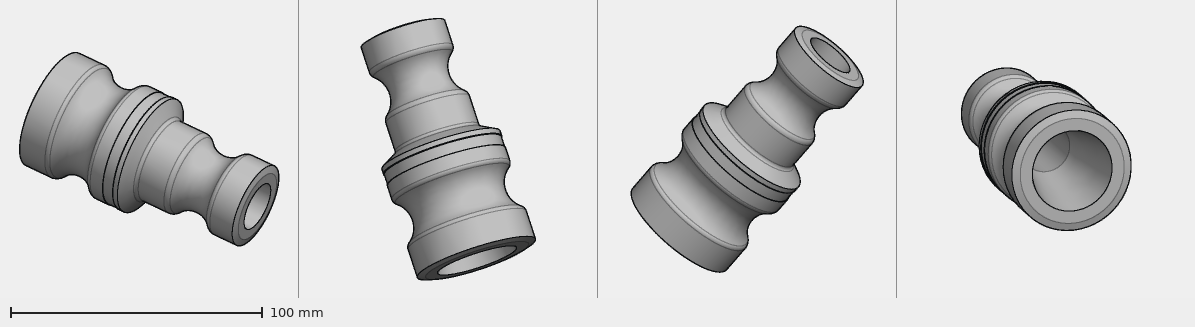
import cadquery as cq
import math

LENGTH = 97.0

LARGE_RADIUS = 49.5 / 2
BAND_RADIUS = 49.0 / 2
SMALL_RADIUS = 35.0 / 2
BAND_START = 39.9
BAND_END = 44.4
BAND_STEP_LENGTH = 0.3
COLLAR_END = 46.85

SHOULDER_ANGLE = math.radians(60)
SHOULDER_FILLET = 1.8

LARGE_BEVEL_LENGTH = 1.0
LARGE_FACE_RADIUS = 21.5
SMALL_BEVEL_LENGTH = 0.9
SMALL_FACE_RADIUS = 14.4

LARGE_GROOVE_CENTER = 23.5
LARGE_FLOOR_RADIUS = 19.5
LARGE_LIP_FILLET = 2.2
SMALL_GROOVE_CENTER = 74.9
SMALL_FLOOR_RADIUS = 12.5
SMALL_LIP_FILLET = 2.9
GROOVE_ARC_RADIUS = 11.2

BORE_CONE_LENGTH = 37.3
BORE_MOUTH_RADIUS = 33.0 / 2
BORE_RADIUS = 20.0 / 2

shoulder_corner = COLLAR_END + (LARGE_RADIUS - SMALL_RADIUS) / math.tan(SHOULDER_ANGLE)


def add_groove(profile, center, outer_radius, floor_radius, lip_fillet):
    """Append a groove: rounded lip, tangent floor arc, rounded lip."""
    reach = GROOVE_ARC_RADIUS + lip_fillet
    arc_height = floor_radius + GROOVE_ARC_RADIUS
    lip_height = outer_radius - lip_fillet
    half_width = math.sqrt(reach**2 - (arc_height - lip_height) ** 2)
    lip_angle = math.asin(half_width / reach)

    lip_mid = (
        half_width - lip_fillet * math.sin(lip_angle / 2),
        lip_height + lip_fillet * math.cos(lip_angle / 2),
    )
    tangent = (
        half_width - lip_fillet * math.sin(lip_angle),
        lip_height + lip_fillet * math.cos(lip_angle),
    )
    return (
        profile.lineTo(center - half_width, outer_radius)
        .threePointArc((center - lip_mid[0], lip_mid[1]), (center - tangent[0], tangent[1]))
        .threePointArc((center, floor_radius), (center + tangent[0], tangent[1]))
        .threePointArc((center + lip_mid[0], lip_mid[1]), (center + half_width, outer_radius))
    )


def add_shoulder(profile):
    """Append the cone down to the small end and the fillet at its foot."""
    foot_x = shoulder_corner + SHOULDER_FILLET * math.tan(SHOULDER_ANGLE / 2)
    fillet_height = SMALL_RADIUS + SHOULDER_FILLET

    def on_fillet(angle):
        return (
            foot_x - SHOULDER_FILLET * math.sin(angle),
            fillet_height - SHOULDER_FILLET * math.cos(angle),
        )

    return profile.lineTo(*on_fillet(SHOULDER_ANGLE)).threePointArc(
        on_fillet(SHOULDER_ANGLE / 2), on_fillet(0)
    )


profile = (
    cq.Workplane("XY")
    .moveTo(0, BORE_MOUTH_RADIUS)
    .lineTo(0, LARGE_FACE_RADIUS)
    .lineTo(LARGE_BEVEL_LENGTH, LARGE_RADIUS)
)
profile = add_groove(
    profile, LARGE_GROOVE_CENTER, LARGE_RADIUS, LARGE_FLOOR_RADIUS, LARGE_LIP_FILLET
)

profile = (
    profile.lineTo(BAND_START, LARGE_RADIUS)
    .lineTo(BAND_START, BAND_RADIUS)
    .lineTo(BAND_END, BAND_RADIUS)
    .lineTo(BAND_END + BAND_STEP_LENGTH, LARGE_RADIUS)
    .lineTo(COLLAR_END, LARGE_RADIUS)
)
profile = add_shoulder(profile)

profile = add_groove(
    profile, SMALL_GROOVE_CENTER, SMALL_RADIUS, SMALL_FLOOR_RADIUS, SMALL_LIP_FILLET
)
profile = (
    profile.lineTo(LENGTH - SMALL_BEVEL_LENGTH, SMALL_RADIUS)
    .lineTo(LENGTH, SMALL_FACE_RADIUS)
    .lineTo(LENGTH, BORE_RADIUS)
)

profile = profile.lineTo(BORE_CONE_LENGTH, BORE_RADIUS).close()

result = profile.revolve(360, (0, 0, 0), (1, 0, 0))